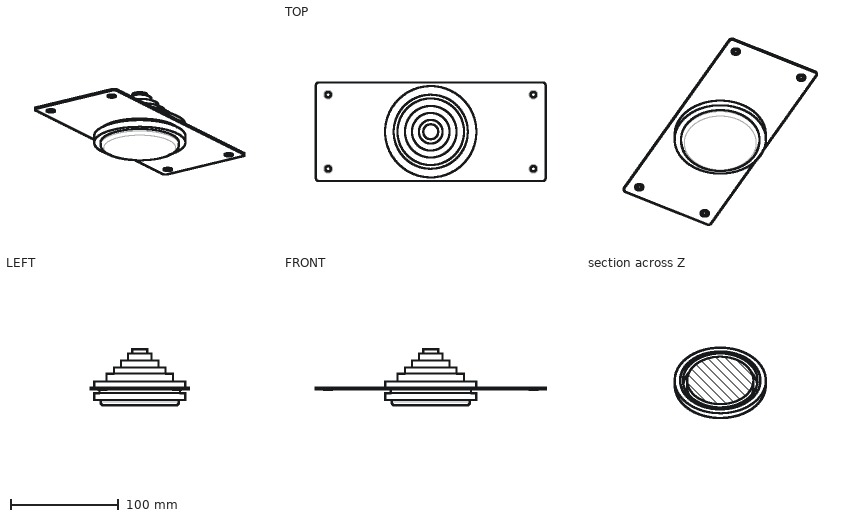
import cadquery as cq
import math

plate_length = 214.0
plate_width = 92.0
plate_thickness = 1.5
plate_corner_radius = 3.0

screw_inset = 11.5
screw_spacing_x = plate_length - 2 * screw_inset
screw_spacing_y = plate_width - 2 * screw_inset
screw_hole_diameter = 4.8
mouth_diameter = 8.0
mouth_depth = 0.7
dimple_diameter = 7.6
dimple_height = 0.5

flange_radius = 42.5
upper_flange_height = 6.0
lower_flange_height = 6.5
neck_radius = 37.5
neck_height = 3.5
base_radius = 36.5
base_height = 5.0
base_fillet = 3.0

cone_steps = [
    (31.0, 7.2),
    (24.0, 5.8),
    (17.5, 6.5),
    (11.0, 6.5),
    (7.0, 4.0),
]
bore_radius = 34.5
moat_floor_thickness = 3.0

upper_flange_top = plate_thickness + upper_flange_height
lower_flange_top = -neck_height
lower_flange_bottom = lower_flange_top - lower_flange_height
base_bottom = lower_flange_bottom - base_height
moat_floor = base_bottom + moat_floor_thickness


def disc(radius, bottom, top):
    """Upright cylinder on the Z axis between two levels."""
    return cq.Workplane("XY").workplane(offset=bottom).circle(radius).extrude(top - bottom)


def screw_hole_cutter():
    """Screw hole hanging below the origin, its rounded mouth curving down tangent to the plate top."""
    hole_depth = plate_thickness + dimple_height
    hole_radius = screw_hole_diameter / 2
    mouth_width = mouth_diameter / 2 - hole_radius
    mouth_sweep = 2 * math.atan(mouth_depth / mouth_width)
    mouth_curve_radius = mouth_width / math.sin(mouth_sweep)
    mouth_middle = (
        mouth_diameter / 2 - mouth_curve_radius * math.sin(mouth_sweep / 2),
        -mouth_curve_radius * (1 - math.cos(mouth_sweep / 2)),
    )
    return (
        cq.Workplane("XZ")
        .lineTo(mouth_diameter / 2, 0)
        .threePointArc(mouth_middle, (hole_radius, -mouth_depth))
        .lineTo(hole_radius, -hole_depth)
        .lineTo(0, -hole_depth)
        .close()
        .revolve(360, (0, 0, 0), (0, 1, 0))
        .val()
    )


def make_plate():
    """Thin rounded plate with a central opening and four dimpled, round-mouthed holes."""
    plate = (
        cq.Workplane("XY")
        .rect(plate_length, plate_width)
        .extrude(plate_thickness)
        .edges("|Z")
        .fillet(plate_corner_radius)
        .cut(disc(neck_radius, 0, plate_thickness))
    )
    dimples = (
        cq.Workplane("XY")
        .rect(screw_spacing_x, screw_spacing_y, forConstruction=True)
        .vertices()
        .circle(dimple_diameter / 2)
        .extrude(-dimple_height)
    )
    screw_holes = (
        cq.Workplane("XY")
        .workplane(offset=plate_thickness)
        .rect(screw_spacing_x, screw_spacing_y, forConstruction=True)
        .vertices()
        .eachpoint(lambda place: screw_hole_cutter().moved(place))
    )
    return plate.union(dimples).cut(screw_holes)


def make_turned_body():
    """Flanged cup that grips the plate at its neck, with a stepped cone rising from its floor."""
    body = disc(base_radius, base_bottom, lower_flange_bottom).faces("<Z").edges().fillet(base_fillet)
    body = body.union(disc(flange_radius, lower_flange_bottom, lower_flange_top))
    body = body.union(disc(neck_radius, lower_flange_top, plate_thickness))
    body = body.union(disc(flange_radius, plate_thickness, upper_flange_top))
    body = body.cut(disc(bore_radius, moat_floor, upper_flange_top))

    step_bottom = moat_floor
    step_top = upper_flange_top
    for radius, height in cone_steps:
        step_top += height
        body = body.union(disc(radius, step_bottom, step_top))
        step_bottom = step_top
    return body


plate = make_plate()
turned_body = make_turned_body()

result = cq.Compound.makeCompound([plate.val(), turned_body.val()])